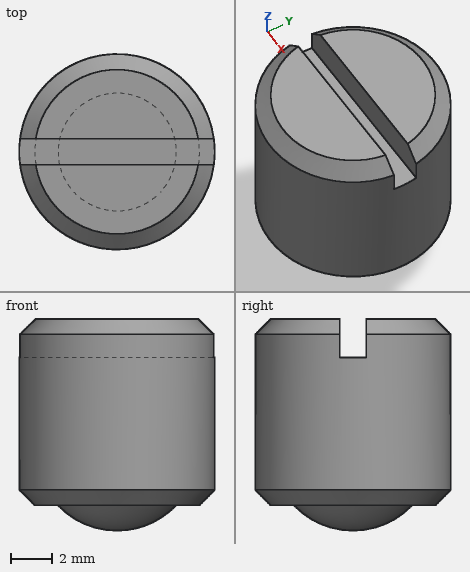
import cadquery as cq

body_diameter = 9.53
overall_height = 10.32
ball_protrusion = 1.23
ball_radius = 3.97
chamfer_size = 0.76
slot_width = 1.28
slot_depth = 1.88

body_height = overall_height - ball_protrusion
ball_center_z = ball_radius - ball_protrusion


def make_body():
    """Cylindrical body with a 45 degree chamfer at both ends."""
    body = cq.Workplane("XY").circle(body_diameter / 2).extrude(body_height)
    return body.faces("<Z or >Z").chamfer(chamfer_size)


def make_ball():
    """Ball seated in the body, protruding below its bottom face."""
    return cq.Workplane("XY").sphere(ball_radius).translate((0, 0, ball_center_z))


def make_slot():
    """Screwdriver slot running along X across the top face."""
    return (
        cq.Workplane("XY")
        .workplane(offset=body_height - slot_depth)
        .rect(body_diameter, slot_width)
        .extrude(slot_depth)
    )


result = make_body().union(make_ball()).cut(make_slot())